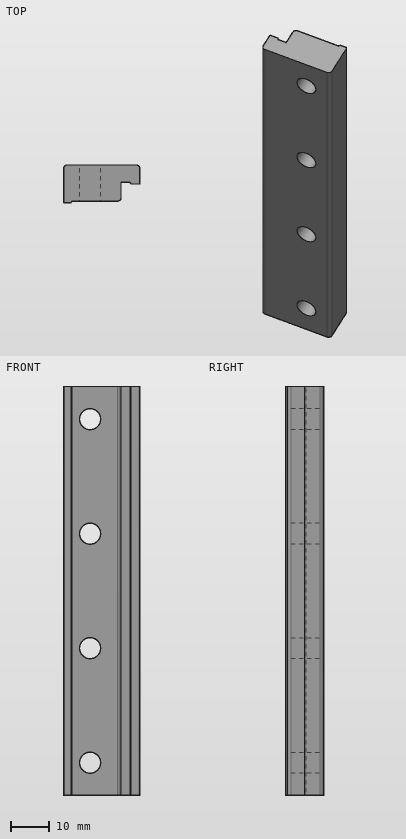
import cadquery as cq

width = 20.0
depth = 10.0
length = 107.0

body_width = 15.1
flange_depth = 5.0

pad_height = 0.4
body_pad_width = 1.9
flange_pad_width = 2.4
pad_slope_width = 0.3

back_radius = 1.0
step_radius = 1.0
front_radius = 0.2

hole_diameter = 5.5
hole_count = 4
hole_pitch = 30.0
hole_x = 7.0


def make_profile_bar():
    """Extrude the stepped cross-section and round its long edges."""
    body_front = pad_height
    flange_front = depth - flange_depth
    flange_recess = flange_front + pad_height
    flange_pad_x = width - flange_pad_width
    outline = [
        (0, 0),
        (body_pad_width, 0),
        (body_pad_width + pad_slope_width, body_front),
        (body_width, body_front),
        (body_width, flange_recess),
        (flange_pad_x - pad_slope_width, flange_recess),
        (flange_pad_x, flange_front),
        (width, flange_front),
        (width, depth),
        (0, depth),
    ]
    bar = cq.Workplane("XY").polyline(outline).close().extrude(length)

    def round_edge(solid, x, y, radius):
        edge = cq.selectors.NearestToPointSelector((x, y, length / 2))
        return solid.edges("|Z").edges(edge).fillet(radius)

    bar = round_edge(bar, 0, depth, back_radius)
    bar = round_edge(bar, width, depth, back_radius)
    bar = round_edge(bar, body_width, body_front, step_radius)
    bar = round_edge(bar, 0, 0, front_radius)
    return round_edge(bar, width, flange_front, front_radius)


def make_hole_cutters():
    """Build the centred row of through holes as solids to remove."""
    hole_centres = [
        (hole_x, length / 2 + (index - (hole_count - 1) / 2) * hole_pitch)
        for index in range(hole_count)
    ]
    back_face = cq.Workplane("XZ", origin=(0, depth, 0))
    return back_face.pushPoints(hole_centres).circle(hole_diameter / 2).extrude(depth)


result = make_profile_bar().cut(make_hole_cutters())